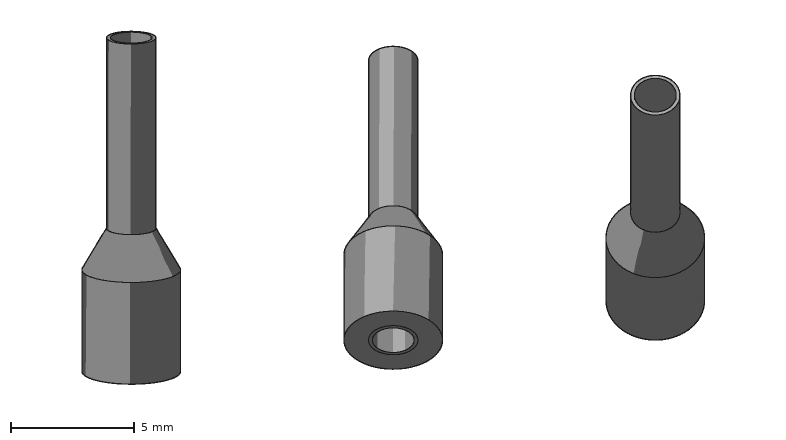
import cadquery as cq

total_length = 14.0
tube_diameter = 2.0
tube_bore = 1.7
exposed_tube_length = 8.0
collar_diameter = 4.0
collar_barrel_length = 4.27

collar_length = total_length - exposed_tube_length
tube_radius = tube_diameter / 2
collar_radius = collar_diameter / 2


def make_tube():
    """Thin straight tube running the full length of the ferrule."""
    return (
        cq.Workplane("XY")
        .circle(tube_radius)
        .circle(tube_bore / 2)
        .extrude(total_length)
    )


def make_collar():
    """Insulating collar: a barrel that tapers down to the tube."""
    half_section = [
        (tube_radius, 0),
        (collar_radius, 0),
        (collar_radius, collar_barrel_length),
        (tube_radius, collar_length),
    ]
    return (
        cq.Workplane("XZ")
        .polyline(half_section)
        .close()
        .revolve(360, (0, 0, 0), (0, 1, 0))
    )


tube = make_tube()
collar = make_collar()

result = cq.Compound.makeCompound([tube.val(), collar.val()])